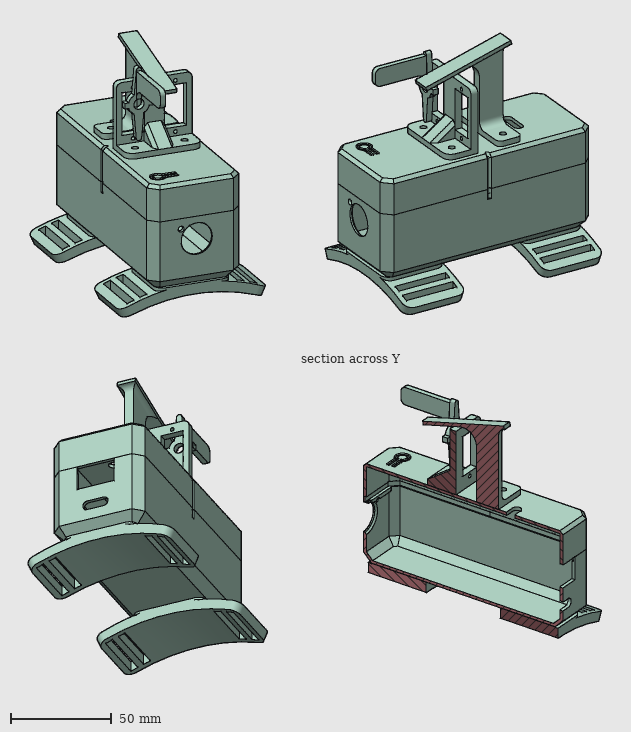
import cadquery as cq
import math

LENGTH = 122.0
WIDTH = 50.0
SEAM_Z = 37.0
LID_TOP_Z = 56.0
CORNER_CHAMFER = 5.0
BOTTOM_CHAMFER = 5.0
TOP_CHAMFER = 1.8
WALL = 2.0
RIM_DEPTH = 3.0
RIM_WIDTH = 0.7
OFFSET_SHRINK = 2 - math.sqrt(2)

WINDOW_WIDTH = 20.5
WINDOW_DEPTH = 13.0
PORT_WIDTH = 13.8
PORT_HEIGHT = 5.0
PORT_Z = 13.3
BORE_DIAMETER = 16.8
BORE_DROP = 12.0
BORE_CHAMFER = 1.0
RIB_HEIGHT = 2.2
RIB_DEPTH = 1.0
WIRE_HOLE_DIAMETER = 3.0
WIRE_HOLE_Y = -8.5
WIRE_HOLE_DROP = 5.6

GROOVE_DIAMETER = 2.2
GROOVE_END_Z = 31.5

LID_SLOT_X = -29.0
LID_SLOT_LENGTH = 15.1
LID_SLOT_WIDTH = 5.0
BUTTON_X = 48.2
BUTTON_Y = -15.6
BUTTON_RING_RADIUS = 3.2
BUTTON_LEG_OFFSET = 1.6
BUTTON_LEG_REACH = 10.4
SLIT_HALF_WIDTH = 0.5
SLIT_CHAMFER = 0.5

FOOT_X = 40.3
FOOT_LENGTH = 35.5
FOOT_HALF_SPAN = 40.32
FOOT_TOP_RADIUS = 98.8
FOOT_CROWN_THICKNESS = 5.7
FOOT_END_THICKNESS = 5.1
FOOT_CORNER_RADIUS = 5.0
PAD_WIDTH = 40.3
STRAP_SLOT_LENGTH = 29.5
STRAP_SLOT_WIDTH = 3.8
STRAP_SLOT_YS = (26.4, 33.3)

PLATE_WIDTH = 41.2
PLATE_THICKNESS = 3.0
PLATE_TOP_Z = LID_TOP_Z + PLATE_THICKNESS
SCREW_DIAMETER = 3.4
SCREW_Y = 13.4

COLUMN_X0 = -21.8
COLUMN_X1 = -7.9
COLUMN_THICKNESS = 5.0
COLUMN_FOOT_RADIUS = 4.0
REST_CORNER_RADIUS = 3.0
SLAB_ANGLE = 15.0
SLAB_TOP_X = -24.8
SLAB_TOP_Z = 104.5
SLAB_END_X = 25.0
SLAB_WIDTH = 10.0
SLAB_THICKNESS = 2.2
FLARE_RADIUS = (SLAB_WIDTH - COLUMN_THICKNESS) / 2
REAR_COVE_RADIUS = 4.0
WEB_RADIUS = 8.0

MOUNT_X0 = 4.1
MOUNT_X1 = 22.0
MOUNT_THICKNESS = 4.0
MOUNT_TOP_Z = 92.1
MOUNT_TOP_RADIUS = 3.0
MOUNT_PLATE_RADIUS = 5.0
SERVO_Y = 11.5
SERVO_WINDOW_WIDTH = 12.1
SERVO_WINDOW_Z0 = 63.8
SERVO_WINDOW_Z1 = 86.5
SERVO_SCREW_DIAMETER = 2.0
SERVO_SCREW_ZS = (61.4, 88.7)
MOUNT_SCREW_X = 15.0
GUSSET_WIDTH = 11.2
GUSSET_HEIGHT = 9.5
GUSSET_CHAMFER = 2.0

LEVER_X0 = 12.2
LEVER_THICKNESS = 3.2
HUB_Y = -SERVO_Y
HUB_Z = 82.2
HUB_RADIUS = 5.7
HUB_BORE = 5.5
ARM_ROOT_HALF_WIDTH = 3.0
ARM_TIP_RADIUS = 1.5
LONG_ARM = 19.5
SHORT_ARM = 7.7
SHORT_ARM_WIDTH = 3.0
FINGER_END_X = 45.3
FINGER_Z0 = 90.0
FINGER_Z1 = 100.0
FINGER_THICKNESS = 2.9
FINGER_CORNER_RADIUS = 3.0
FINGER_ROOT_RADIUS = 5.0


def span_box(x0, x1, y0, y1, z0, z1):
    """Box between two opposite corners."""
    return cq.Workplane("XY").box(x1 - x0, y1 - y0, z1 - z0, centered=False).translate((x0, y0, z0))


def octagon_block(inset, z0, z1):
    """Enclosure outline, moved inward by inset, as a prism."""
    return (
        span_box(inset - LENGTH / 2, LENGTH / 2 - inset, inset - WIDTH / 2, WIDTH / 2 - inset, z0, z1)
        .edges("|Z")
        .chamfer(CORNER_CHAMFER - OFFSET_SHRINK * inset)
    )


def side_groove(side):
    """Round groove up one long side and over the top chamfer."""
    y = side * WIDTH / 2
    radius = GROOVE_DIAMETER / 2
    bend_z = LID_TOP_Z - TOP_CHAMFER
    upright = cq.Workplane("XY", origin=(0, y, GROOVE_END_Z)).circle(radius).extrude(bend_z - GROOVE_END_Z)
    slope = cq.Solid.makeCylinder(radius, 2 * TOP_CHAMFER + GROOVE_DIAMETER, cq.Vector(0, y, bend_z),
                                  cq.Vector(0, -side, 1))
    return upright.union(cq.Workplane(slope))


def cut_side_grooves(body):
    for side in (-1, 1):
        body = body.cut(side_groove(side))
    return body


def make_base():
    body = octagon_block(0, 0, SEAM_Z).faces("<Z").chamfer(BOTTOM_CHAMFER)
    cavity = octagon_block(WALL, WALL, SEAM_Z).faces("<Z").chamfer(BOTTOM_CHAMFER - OFFSET_SHRINK * WALL)
    body = body.cut(cavity).cut(octagon_block(WALL - RIM_WIDTH, SEAM_Z - RIM_DEPTH, SEAM_Z))

    inner_x = LENGTH / 2 - WALL
    bore_z = SEAM_Z - BORE_DROP
    bore_radius = BORE_DIAMETER / 2
    flare = cq.Workplane(cq.Solid.makeCone(bore_radius + BORE_CHAMFER, bore_radius, BORE_CHAMFER,
                                           cq.Vector(inner_x, 0, bore_z), cq.Vector(1, 0, 0)))
    body = body.cut(flare)

    rib_top = SEAM_Z - RIM_DEPTH
    half_rib = WIDTH / 2 - CORNER_CHAMFER
    rib = span_box(inner_x - RIB_DEPTH, inner_x, -half_rib, half_rib, rib_top - RIB_HEIGHT, rib_top)
    drill_x = inner_x - RIB_DEPTH
    drill_length = WALL + RIB_DEPTH
    bore = cq.Workplane("YZ", origin=(drill_x, 0, bore_z)).circle(bore_radius).extrude(drill_length)
    wire_hole = (
        cq.Workplane("YZ", origin=(drill_x, WIRE_HOLE_Y, SEAM_Z - WIRE_HOLE_DROP))
        .circle(WIRE_HOLE_DIAMETER / 2)
        .extrude(drill_length)
    )
    body = body.union(rib).cut(bore).cut(wire_hole)

    window = span_box(-LENGTH / 2, WALL - LENGTH / 2, -WINDOW_WIDTH / 2, WINDOW_WIDTH / 2,
                      SEAM_Z - WINDOW_DEPTH, SEAM_Z)
    port = (
        cq.Workplane("YZ", origin=(-LENGTH / 2, 0, PORT_Z))
        .slot2D(PORT_WIDTH, PORT_HEIGHT)
        .extrude(WALL)
    )
    return cut_side_grooves(body.cut(window).cut(port))


def keyhole(growth, depth, taper):
    """Disc with a tongue toward +Y, sunk from the lid top; growth widens it past the slit middle."""
    radius = BUTTON_RING_RADIUS + growth
    half_neck = BUTTON_LEG_OFFSET + growth
    neck_y = math.sqrt(radius**2 - half_neck**2)
    return (
        cq.Workplane("XY", origin=(BUTTON_X, BUTTON_Y, LID_TOP_Z))
        .moveTo(-half_neck, BUTTON_LEG_REACH)
        .lineTo(-half_neck, neck_y)
        .threePointArc((0, -radius), (half_neck, neck_y))
        .lineTo(half_neck, BUTTON_LEG_REACH)
        .close()
        .extrude(-depth, taper=taper)
    )


def button_slit():
    """Keyhole-shaped slit that frees a springy button, with both upper edges bevelled."""
    slit = keyhole(SLIT_HALF_WIDTH, WALL, 0).cut(keyhole(-SLIT_HALF_WIDTH, WALL, 0))
    top_half_width = SLIT_HALF_WIDTH + SLIT_CHAMFER
    bevel = keyhole(top_half_width, SLIT_CHAMFER, 45).cut(keyhole(-top_half_width, SLIT_CHAMFER, -45))
    return slit.union(bevel)


def make_lid():
    body = octagon_block(0, SEAM_Z, LID_TOP_Z).faces(">Z").chamfer(TOP_CHAMFER)
    body = body.cut(octagon_block(WALL, SEAM_Z, LID_TOP_Z - WALL))
    slot = (
        cq.Workplane("XY", origin=(LID_SLOT_X, 0, LID_TOP_Z - WALL))
        .slot2D(LID_SLOT_LENGTH, LID_SLOT_WIDTH, 90)
        .extrude(WALL)
    )
    return cut_side_grooves(body.cut(slot).cut(button_slit()))


def make_foot(x):
    end_angle = math.asin(FOOT_HALF_SPAN / FOOT_TOP_RADIUS)
    top_end_z = -FOOT_TOP_RADIUS * (1 - math.cos(end_angle))
    lower_half_span = FOOT_HALF_SPAN - FOOT_END_THICKNESS * math.sin(end_angle)
    lower_end_z = top_end_z - FOOT_END_THICKNESS * math.cos(end_angle)

    saddle = (
        cq.Workplane("YZ", origin=(x - FOOT_LENGTH / 2, 0, 0))
        .moveTo(-FOOT_HALF_SPAN, top_end_z)
        .threePointArc((0, 0), (FOOT_HALF_SPAN, top_end_z))
        .lineTo(lower_half_span, lower_end_z)
        .threePointArc((0, -FOOT_CROWN_THICKNESS), (-lower_half_span, lower_end_z))
        .close()
        .extrude(FOOT_LENGTH)
    )
    saddle = saddle.faces("<Y or >Y").edges("not |X").fillet(FOOT_CORNER_RADIUS)

    pad = (
        cq.Workplane("XY", origin=(x, 0, 0))
        .rect(FOOT_LENGTH, PAD_WIDTH)
        .extrude(-FOOT_CROWN_THICKNESS / 2)
        .edges("|Z")
        .fillet(FOOT_CORNER_RADIUS)
    )
    slot_centres = [(0, side * y) for side in (-1, 1) for y in STRAP_SLOT_YS]
    slots = (
        cq.Workplane("XY", origin=(x, 0, 0))
        .pushPoints(slot_centres)
        .rect(STRAP_SLOT_LENGTH, STRAP_SLOT_WIDTH)
        .extrude(-FOOT_HALF_SPAN)
    )
    return saddle.union(pad).cut(slots)


def drill_plate(body, x):
    """Two screw holes through a base plate that stands on the lid."""
    holes = (
        cq.Workplane("XY", origin=(x, 0, LID_TOP_Z))
        .pushPoints([(0, -SCREW_Y), (0, SCREW_Y)])
        .circle(SCREW_DIAMETER / 2)
        .extrude(PLATE_THICKNESS)
    )
    return body.cut(holes)


def make_rest():
    slope = math.radians(SLAB_ANGLE)
    slab_length = (SLAB_END_X - SLAB_TOP_X) / math.cos(slope)
    half_column = COLUMN_THICKNESS / 2
    half_slab = SLAB_WIDTH / 2
    underside_drop = SLAB_THICKNESS / math.cos(slope)

    def underside_z(x):
        return SLAB_TOP_Z - (x - SLAB_TOP_X) * math.tan(slope) - underside_drop

    def along_slab(body):
        """Place a body made at the origin, X along the slab, below the slab's highest edge."""
        return body.rotate((0, 0, 0), (0, 1, 0), SLAB_ANGLE).translate((SLAB_TOP_X, 0, SLAB_TOP_Z))

    plate = span_box(COLUMN_X0, COLUMN_X1, -PLATE_WIDTH / 2, PLATE_WIDTH / 2, LID_TOP_Z, PLATE_TOP_Z)
    plate = plate.edges("|Z").fillet(REST_CORNER_RADIUS)

    rear_reach = REAR_COVE_RADIUS / math.tan((math.pi / 2 + slope) / 2)
    web_reach = WEB_RADIUS / math.tan((math.pi / 2 - slope) / 2)
    rear_z = underside_z(COLUMN_X0)
    web_z = underside_z(COLUMN_X1)
    rear_top = (COLUMN_X0 - rear_reach * math.cos(slope), rear_z + rear_reach * math.sin(slope))
    web_top = (COLUMN_X1 + web_reach * math.cos(slope), web_z - web_reach * math.sin(slope))

    def column_profile(half_width):
        return (
            cq.Workplane("XZ", origin=(0, half_width, 0))
            .moveTo(COLUMN_X1, LID_TOP_Z)
            .lineTo(COLUMN_X1, web_z - web_reach)
            .radiusArc(web_top, WEB_RADIUS)
            .lineTo(*rear_top)
            .radiusArc((COLUMN_X0, rear_z - rear_reach), REAR_COVE_RADIUS)
            .lineTo(COLUMN_X0, LID_TOP_Z)
            .close()
            .extrude(2 * half_width)
        )

    flare = (
        cq.Workplane("YZ")
        .moveTo(-half_slab, -SLAB_THICKNESS)
        .radiusArc((-half_column, -SLAB_THICKNESS - FLARE_RADIUS), FLARE_RADIUS)
        .lineTo(half_column, -SLAB_THICKNESS - FLARE_RADIUS)
        .radiusArc((half_slab, -SLAB_THICKNESS), FLARE_RADIUS)
        .close()
        .extrude(slab_length)
    )
    flare = along_slab(flare).intersect(column_profile(half_slab))

    spread = half_column + COLUMN_FOOT_RADIUS
    root = (
        cq.Workplane("YZ", origin=(COLUMN_X0, 0, PLATE_TOP_Z))
        .moveTo(-spread, 0)
        .radiusArc((-half_column, COLUMN_FOOT_RADIUS), -COLUMN_FOOT_RADIUS)
        .lineTo(half_column, COLUMN_FOOT_RADIUS)
        .radiusArc((spread, 0), -COLUMN_FOOT_RADIUS)
        .close()
        .extrude(COLUMN_X1 - COLUMN_X0)
    )
    slab = along_slab(span_box(0, slab_length, -half_slab, half_slab, -SLAB_THICKNESS, 0))
    body = plate.union(root).union(column_profile(half_column)).union(flare).union(slab)
    return drill_plate(body, (COLUMN_X0 + COLUMN_X1) / 2)


def make_mount():
    half_width = PLATE_WIDTH / 2
    wall_x = MOUNT_X0 + MOUNT_THICKNESS
    plate = span_box(MOUNT_X0, MOUNT_X1, -half_width, half_width, LID_TOP_Z, PLATE_TOP_Z)
    plate = plate.edges("|Z and >X").fillet(MOUNT_PLATE_RADIUS)
    wall = span_box(MOUNT_X0, wall_x, -half_width, half_width, LID_TOP_Z, MOUNT_TOP_Z)
    wall = wall.edges("|X and >Z").fillet(MOUNT_TOP_RADIUS)

    gusset = (
        cq.Workplane("XZ", origin=(0, GUSSET_WIDTH / 2, 0))
        .moveTo(wall_x, PLATE_TOP_Z)
        .lineTo(MOUNT_X1, PLATE_TOP_Z)
        .lineTo(wall_x, PLATE_TOP_Z + GUSSET_HEIGHT)
        .close()
        .extrude(GUSSET_WIDTH)
    )
    gusset = gusset.faces(">Y or <Y").edges("not (|X or |Z)").chamfer(GUSSET_CHAMFER)

    window_z = (SERVO_WINDOW_Z0 + SERVO_WINDOW_Z1) / 2
    windows = (
        cq.Workplane("YZ", origin=(MOUNT_X0, 0, 0))
        .pushPoints([(-SERVO_Y, window_z), (SERVO_Y, window_z)])
        .rect(SERVO_WINDOW_WIDTH, SERVO_WINDOW_Z1 - SERVO_WINDOW_Z0)
        .extrude(MOUNT_THICKNESS)
    )
    screw_centres = [(side * SERVO_Y, z) for side in (-1, 1) for z in SERVO_SCREW_ZS]
    screws = (
        cq.Workplane("YZ", origin=(MOUNT_X0, 0, 0))
        .pushPoints(screw_centres)
        .circle(SERVO_SCREW_DIAMETER / 2)
        .extrude(MOUNT_THICKNESS)
    )
    body = plate.union(wall).union(gusset).cut(windows).cut(screws)
    return drill_plate(body, MOUNT_SCREW_X)


def long_arm(angle):
    """Tapered arm with a round tip, pointing up before it is turned about the hub."""
    tip_z = LONG_ARM - ARM_TIP_RADIUS
    return (
        cq.Workplane("YZ")
        .moveTo(-ARM_ROOT_HALF_WIDTH, 0)
        .lineTo(-ARM_TIP_RADIUS, tip_z)
        .threePointArc((0, LONG_ARM), (ARM_TIP_RADIUS, tip_z))
        .lineTo(ARM_ROOT_HALF_WIDTH, 0)
        .close()
        .extrude(LEVER_THICKNESS)
        .rotate((0, 0, 0), (1, 0, 0), angle)
    )


def make_lever():
    horn = cq.Workplane("YZ").circle(HUB_RADIUS).extrude(LEVER_THICKNESS)
    crossbar = cq.Workplane("YZ").rect(2 * SHORT_ARM, SHORT_ARM_WIDTH).extrude(LEVER_THICKNESS)
    horn = horn.union(crossbar).union(long_arm(0)).union(long_arm(180))
    horn = horn.cut(cq.Workplane("YZ").circle(HUB_BORE / 2).extrude(LEVER_THICKNESS))
    horn = horn.translate((LEVER_X0, HUB_Y, HUB_Z))

    root_x = LEVER_X0 + LEVER_THICKNESS
    finger = span_box(root_x, FINGER_END_X, HUB_Y - FINGER_THICKNESS / 2, HUB_Y + FINGER_THICKNESS / 2,
                      FINGER_Z0, FINGER_Z1)
    finger = finger.edges("|Y and >X").fillet(FINGER_CORNER_RADIUS)
    cove = (
        cq.Workplane("XZ", origin=(root_x, HUB_Y + FINGER_THICKNESS / 2, FINGER_Z0))
        .lineTo(FINGER_ROOT_RADIUS, 0)
        .radiusArc((0, -FINGER_ROOT_RADIUS), -FINGER_ROOT_RADIUS)
        .close()
        .extrude(FINGER_THICKNESS)
    )
    return horn.union(finger).union(cove)


base = make_base()
lid = make_lid()
feet = [make_foot(x) for x in (-FOOT_X, FOOT_X)]
rest = make_rest()
mount = make_mount()
lever = make_lever()

result = cq.Compound.makeCompound(
    [base.val(), lid.val(), *[foot.val() for foot in feet], rest.val(), mount.val(), lever.val()]
)